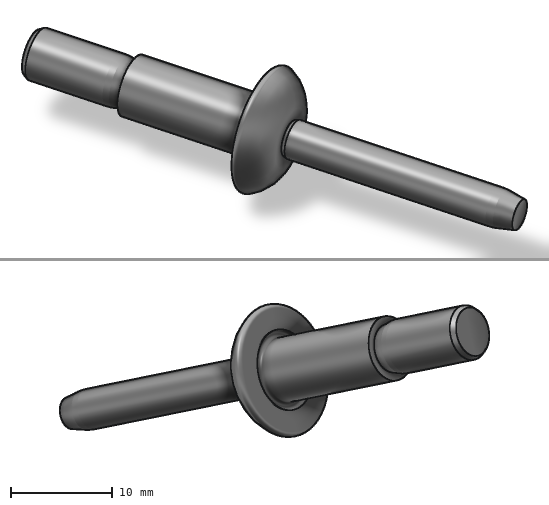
import cadquery as cq
import math

length = 53.9
plug_radius = 2.75
plug_chamfer_length = 0.55
plug_chamfer_depth = 0.3
plug_taper_start = 9.1
plug_shoulder_x = 9.8
plug_shoulder_radius = 2.7
plug_neck_radius = 2.4

sleeve_start = 11.0
sleeve_radius = 3.25

head_start = 25.15
head_radius = 6.655
head_thickness = 3.3
rim_radius = 0.5
rim_end_angle = math.radians(40)
dome_end_radius = 3.2
dome_bulge = 0.55

recess_width = 0.8

pin_radius = 2.05
pin_chamfer_length = 0.45
pin_chamfer_depth = 0.15
tip_length = 2.75
tip_blend_length = 0.8
tip_blend_radius = 2.0
tip_end_radius = 1.6

head_end = head_start + head_thickness


def revolve_about_x(profile):
    """Turn a closed (x, radius) profile into a solid of revolution."""
    return profile.close().revolve(360, (0, 0, 0), (1, 0, 0))


def make_plug():
    return revolve_about_x(
        cq.Workplane("XY")
        .lineTo(0, plug_radius - plug_chamfer_depth)
        .lineTo(plug_chamfer_length, plug_radius)
        .lineTo(plug_taper_start, plug_radius)
        .tangentArcPoint((plug_shoulder_x, plug_shoulder_radius), relative=False)
        .lineTo(sleeve_start, plug_neck_radius)
        .lineTo(sleeve_start, 0)
    )


def make_sleeve():
    return revolve_about_x(
        cq.Workplane("XY")
        .moveTo(sleeve_start, 0)
        .lineTo(sleeve_start, sleeve_radius)
        .lineTo(head_start, sleeve_radius)
        .lineTo(head_start, 0)
    )


def make_head():
    """Domed flange with a rounded rim and a half-round recess around the sleeve."""
    rim_x = head_start + rim_radius
    rim_center_radius = head_radius - rim_radius
    rim_dome_x = rim_x + rim_radius * math.sin(rim_end_angle)
    rim_dome_radius = rim_center_radius + rim_radius * math.cos(rim_end_angle)
    recess_radius = recess_width / 2
    recess_center_radius = sleeve_radius + recess_radius
    return revolve_about_x(
        cq.Workplane("XY")
        .moveTo(head_start, 0)
        .lineTo(head_start, sleeve_radius)
        .threePointArc(
            (head_start + recess_radius, recess_center_radius),
            (head_start, sleeve_radius + recess_width),
        )
        .lineTo(head_start, rim_center_radius)
        .threePointArc((rim_x, head_radius), (rim_dome_x, rim_dome_radius))
        .sagittaArc((head_end, dome_end_radius), dome_bulge)
        .lineTo(head_end, 0)
    )


def make_pin():
    tip_start = length - tip_length
    return revolve_about_x(
        cq.Workplane("XY")
        .moveTo(head_end, 0)
        .lineTo(head_end, pin_radius - pin_chamfer_depth)
        .lineTo(head_end + pin_chamfer_length, pin_radius)
        .lineTo(tip_start, pin_radius)
        .tangentArcPoint((tip_start + tip_blend_length, tip_blend_radius), relative=False)
        .lineTo(length, tip_end_radius)
        .lineTo(length, 0)
    )


result = make_plug().union(make_sleeve()).union(make_head()).union(make_pin())